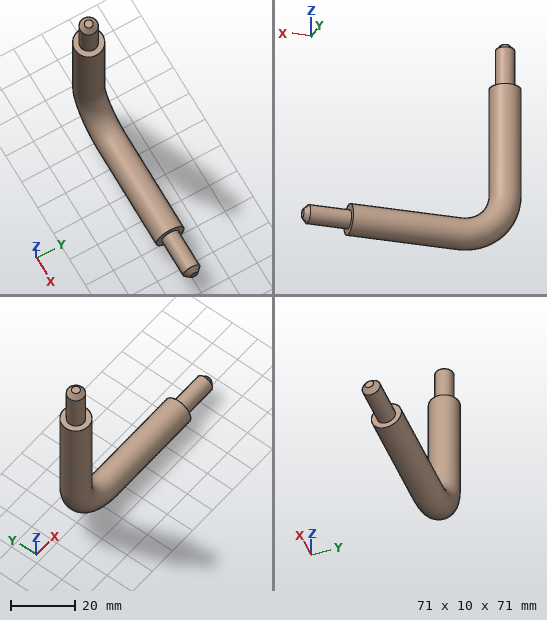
import cadquery as cq

overall_length = 71.0
rod_diameter = 10.0
pin_diameter = 6.0
pin_length = 15.0
pin_chamfer = 1.6
bend_radius = 15.0

rod_radius = rod_diameter / 2
pin_radius = pin_diameter / 2
axis_to_tip = overall_length - rod_radius
straight_length = axis_to_tip - bend_radius - pin_length


def make_leg():
    """Upright leg: straight rod stepping down to a pin with a chamfered tip."""
    shoulder_z = bend_radius + straight_length
    return (
        cq.Workplane("XZ")
        .moveTo(0, bend_radius)
        .lineTo(rod_radius, bend_radius)
        .lineTo(rod_radius, shoulder_z)
        .lineTo(pin_radius, shoulder_z)
        .lineTo(pin_radius, axis_to_tip - pin_chamfer)
        .lineTo(pin_radius - pin_chamfer, axis_to_tip)
        .lineTo(0, axis_to_tip)
        .close()
        .revolve(360, (0, 0, 0), (0, 1, 0))
    )


def make_bend():
    """Quarter torus joining the two legs, turned about an axis along Y."""
    return (
        cq.Workplane("XY", origin=(0, 0, bend_radius))
        .circle(rod_radius)
        .revolve(90, (bend_radius, 0, 0), (bend_radius, -1, 0))
    )


upright_leg = make_leg()
level_leg = upright_leg.rotate((0, 0, 0), (0, 1, 0), 90)

result = make_bend().union(upright_leg).union(level_leg)